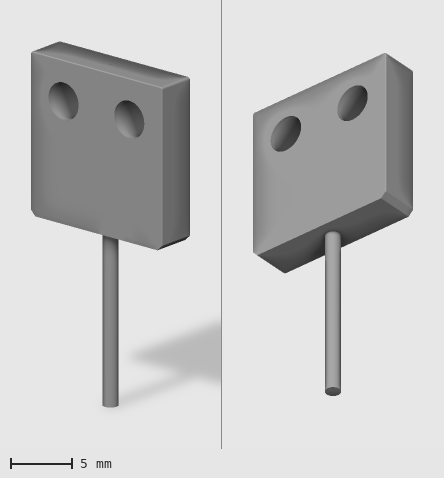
import cadquery as cq

total_height = 29.1
body_width = 14.0
body_depth = 3.5
body_height = body_width
corner_chamfer = 0.5
edge_radius = 0.1
top_end_radius = 0.2
mount_hole_diameter = 3.2
mount_hole_spacing = body_width / 2
mount_hole_drop = body_width / 4
cable_diameter = 1.3
cable_length = total_height - body_height
pinhole_diameter = 0.2
pinhole_depth = 0.3


def make_body():
    """Square block with its top at Z = body_height and its bottom at Z = 0."""
    block = cq.Workplane("XY").box(
        body_width, body_depth, body_height, centered=(True, True, False)
    )
    block = block.edges(">Z and |Y").fillet(top_end_radius)
    block = block.edges("(<Y or >Y) and (not <Z)").fillet(edge_radius)
    return block.cut(make_corner_cut(1)).cut(make_corner_cut(-1))


def make_corner_cut(side):
    """Triangular prism that bevels one bottom corner of the block."""
    outer_x = side * body_width / 2
    inner_x = side * (body_width / 2 - corner_chamfer)
    return (
        cq.Workplane("XZ")
        .polyline([(outer_x, 0), (inner_x, 0), (outer_x, corner_chamfer)])
        .close()
        .extrude(body_depth / 2, both=True)
    )


def make_mount_holes():
    """Two through holes along Y, near the top of the block."""
    return (
        cq.Workplane("XZ", origin=(0, 0, body_height - mount_hole_drop))
        .rarray(mount_hole_spacing, 0.3, 2, 1)
        .circle(mount_hole_diameter / 2)
        .extrude(body_depth, both=True)
    )


def make_cable():
    """Round cable hanging from the centre of the bottom face."""
    return cq.Workplane("XY").circle(cable_diameter / 2).extrude(-cable_length)


def make_pinhole():
    """Tiny blind hole in the centre of the top face."""
    return (
        cq.Workplane("XY", origin=(0, 0, body_height))
        .circle(pinhole_diameter / 2)
        .extrude(-pinhole_depth)
    )


result = make_body().cut(make_mount_holes()).cut(make_pinhole()).union(make_cable())